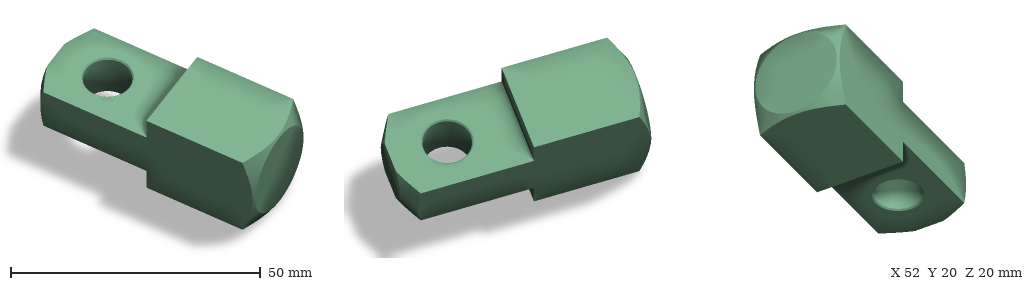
import cadquery as cq
import math

length = 52.0
width = 20.0
tongue_length = 27.0
tongue_thickness = width / 2
hole_x = 12.0
hole_diameter = 10.0
hole_chamfer = 0.3
tongue_tip_radius = 6.0
head_tip_radius = 9.5
bevel_angle = 30.0

envelope_radius = width


def bevel_depth(tip_radius):
    """Axial length of a conical bevel out to the envelope radius."""
    return (envelope_radius - tip_radius) * math.tan(math.radians(bevel_angle))


def stepped_bar():
    """Square head with a thinner, centred tongue."""
    head = cq.Workplane("XY").box(
        length - tongue_length, width, width, centered=(False, True, True)
    ).translate((tongue_length, 0, 0))
    tongue = cq.Workplane("XY").box(
        tongue_length, width, tongue_thickness, centered=(False, True, True)
    )
    return head.union(tongue)


def bevelled_envelope():
    """Solid of revolution about X whose cones bevel both ends of the bar."""
    return (
        cq.Workplane("XY")
        .moveTo(0, 0)
        .lineTo(0, tongue_tip_radius)
        .lineTo(bevel_depth(tongue_tip_radius), envelope_radius)
        .lineTo(length - bevel_depth(head_tip_radius), envelope_radius)
        .lineTo(length, head_tip_radius)
        .lineTo(length, 0)
        .close()
        .revolve(360, (0, 0, 0), (1, 0, 0))
    )


def pin_hole():
    """Cutter for the tongue's through hole, chamfered at both mouths."""
    radius = hole_diameter / 2
    mouth_radius = radius + hole_chamfer
    half_thickness = tongue_thickness / 2
    return (
        cq.Workplane("XZ")
        .moveTo(0, -half_thickness)
        .lineTo(mouth_radius, -half_thickness)
        .lineTo(radius, -half_thickness + hole_chamfer)
        .lineTo(radius, half_thickness - hole_chamfer)
        .lineTo(mouth_radius, half_thickness)
        .lineTo(0, half_thickness)
        .close()
        .revolve(360, (0, 0, 0), (0, 1, 0))
        .translate((hole_x, 0, 0))
    )


result = stepped_bar().intersect(bevelled_envelope()).cut(pin_hole())